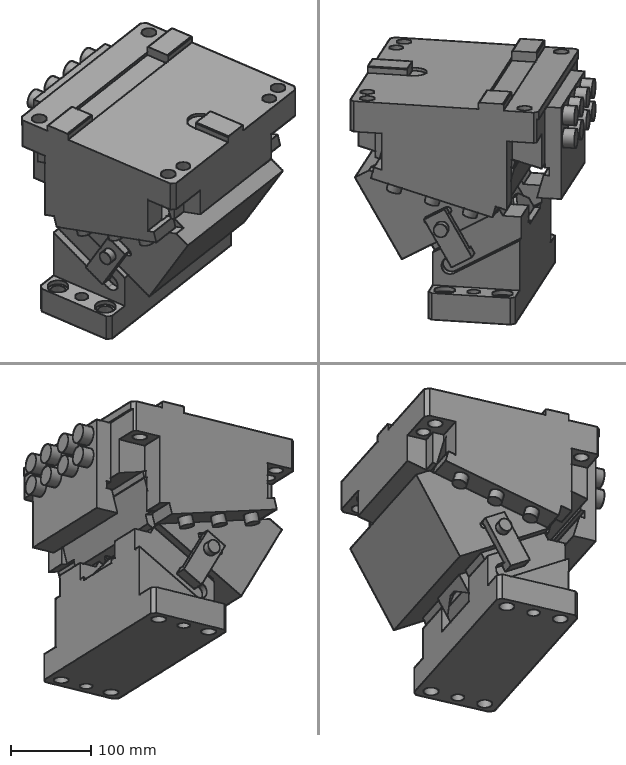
import cadquery as cq
import math


HALF_WIDTH = 130.0
CORNER = 5.2
SLIDER_HALF = 99.7
DRIVE_ANGLE = -30
DRIVE_ORIGIN = (28.0, 136.7)
SLIDE_ANGLE = 15
SLIDE_ORIGIN = (28.0, 139.3)
SLIDER_TOP = 68.5
FAR = 578.0

BASE_LENGTH = 110.5
FLANGE_HEIGHT = 35.0
BASE_BODY_HALF = 98.3
WEAR_THICKNESS = 9.8
BASE_TOP = DRIVE_ORIGIN[1] - WEAR_THICKNESS * math.cos(math.radians(DRIVE_ANGLE))
WEAR_LENGTH = 100.5
WEAR_OUTER = 88.0
CHANNEL_HALF = 40.5
CHANNEL_DEPTH = 40.5
RECESS_DEPTH = 45.5
RECESS_SLOT_HEIGHT = 20.8
RECESS_SLOT_END = 90.5
LIP_START = 63.0
BASE_HOLE_Y = 114.2
BASE_BOLT_PITCH = 73.5
BASE_BOLT_DIAMETER = 19.0
BASE_BORE_DIAMETER = 26.0
BASE_BORE_DEPTH = 5.8
DOWEL_DIAMETER = 16.2

GUIDE_HALF = 32.5
RIDGE_HALF = 5.8
RIDGE_DEPTH = 10.5
VALLEY_DEPTH = 27.0
TONGUE_START = 5.0
TONGUE_END = 106.0
TONGUE_RELIEF_Y = 24.3
TONGUE_RELIEF_RADIUS = 6.0
TONGUE_RELIEF_DEPTH = 3.5

SLIDER_START = -6.5
TOP_PLATE_START = -4.5
SLIDER_END = 140.2
SLIDER_BACK = 119.6
NECK_HALF = 84.5
LEDGE_GAP = 2.3
TOP_PLATE_HALF = 97.0
TOP_PLATE_THICKNESS = 9.0
LINK_RIGHT = 85.3
LINK_WIDTH = 30.0
LINK_BOTTOM = -35.3
LINK_LENGTH = 70.0
LINK_OUTER = 109.8
TOE_HEIGHT = 9.8
TOE_INNER = 93.0
PIN_HEIGHT = 50.0
PIN_DIAMETER = 17.3
PIN_END = 120.2
LINK_RELIEF_RADIUS = 4.3
LINK_RELIEF_DEPTH = 5.0
LINK_RELIEF_DROP = 5.0

PLATE_LEFT = -29.8
PLATE_RIGHT = 209.8
PLATE_BOTTOM = 240.5
PLATE_TOP = 280.3
FRONT_FACE = -27.5
FRONT_STEP_Z = 270.2
WALL_LEFT = 10.0
WALL_RIGHT = 169.0
CORE_HALF = 94.5
CORE_RIGHT = 184.0
REAR_HALF = 74.5
RETAINER_LENGTH = 160.0
RETAINER_THICKNESS = 15.0
RETAINER_INNER = 89.5
RETAINER_SCREW_Y = 114.5
RETAINER_SCREW_PITCH = 50.0
RETAINER_SCREW_DIAMETER = 18.2
RETAINER_SCREW_HEIGHT = 12.0
STOP_LEFT = -48.0
STOP_HALF = 74.5
STOP_BOTTOM = 150.3
NOTCH_TOP = 190.2
NOTCH_BOTTOM = 180.3
NOTCH_X = -33.0
HOOK_SHOULDER_X = -25.7
HOOK_FOOT_X = -17.3
STOP_SCREW_DIAMETER = 24.5
STOP_SCREW_HEIGHT = 15.3
STOP_SCREW_ROWS = (224.8, 254.5)
STOP_SCREW_COLUMNS = (-55.2, -20.0, 20.0, 55.2)
KEY_TOP = 289.0
KEY_WIDTH = 32.0
KEY_LENGTH = 50.3
KEY_CHAMFER = 1.2
KEYWAY_DEPTH = 4.0
CROSS_KEY_LEFT = 14.0
SLOT_CENTER_X = 154.3
MOUNT_HOLE_X = (-9.8, 190.2)
MOUNT_HOLE_Y = 115.0
MOUNT_HOLE_DIAMETER = 18.5
REAR_HOLE_X = 195.0
REAR_HOLE_Y = 90.2
REAR_HOLE_DIAMETER = 17.3


def box(x0, x1, y0, y1, z0, z1):
    return cq.Workplane("XY").box(x1 - x0, y1 - y0, z1 - z0, centered=False).translate((x0, y0, z0))


def side_plane(origin, angle, y):
    """Plane facing -Y at depth y, its first axis tilted by angle above +X."""
    tilt = math.radians(angle)
    direction = (math.cos(tilt), 0, math.sin(tilt))
    return cq.Workplane(cq.Plane((origin[0], y, origin[1]), direction, (0, -1, 0)))


def drive_plane(y):
    return side_plane(DRIVE_ORIGIN, DRIVE_ANGLE, y)


def slide_plane(y):
    return side_plane(SLIDE_ORIGIN, SLIDE_ANGLE, y)


def upright_plane(y):
    return side_plane((0, 0), 0, y)


def tilted_box(plane, along, up, y0, y1):
    """Box between y0 and y1, with its ranges along and above the tilted plane's first axis."""
    corners = [(along[0], up[0]), (along[1], up[0]), (along[1], up[1]), (along[0], up[1])]
    return plane(y1).polyline(corners).close().extrude(y1 - y0)


def both_sides(shape):
    return shape.union(shape.mirror("XZ"))


def drive_section_plane(along):
    """Plane across the drive slope, its axes along +Y and up from the slope."""
    tilt = math.radians(DRIVE_ANGLE)
    normal = (math.cos(tilt), 0, math.sin(tilt))
    origin = (DRIVE_ORIGIN[0], 0, DRIVE_ORIGIN[1])
    return cq.Workplane(cq.Plane(origin, (0, 1, 0), normal)).workplane(offset=along)


def guide_prism(start, end, floor):
    """Guide strip along the drive slope, between the chevron roof line and a flat at height floor."""
    profile = [
        (-GUIDE_HALF, floor),
        (-GUIDE_HALF, -VALLEY_DEPTH),
        (-RIDGE_HALF, -RIDGE_DEPTH),
        (RIDGE_HALF, -RIDGE_DEPTH),
        (GUIDE_HALF, -VALLEY_DEPTH),
        (GUIDE_HALF, floor),
    ]
    return drive_section_plane(start).polyline(profile).close().extrude(end - start)


def base_bolt_holes():
    middle = BASE_LENGTH / 2
    holes = None
    for y in (-BASE_HOLE_Y, BASE_HOLE_Y):
        top = cq.Workplane("XY", origin=(middle, y, FLANGE_HEIGHT))
        side = top.circle(DOWEL_DIAMETER / 2).extrude(-FLANGE_HEIGHT)
        for x in (-BASE_BOLT_PITCH / 2, BASE_BOLT_PITCH / 2):
            side = side.union(top.center(x, 0).circle(BASE_BOLT_DIAMETER / 2).extrude(-FLANGE_HEIGHT))
            side = side.union(top.center(x, 0).circle(BASE_BORE_DIAMETER / 2).extrude(-BASE_BORE_DEPTH))
        holes = side if holes is None else holes.union(side)
    return holes


def base_side_recess():
    """Clearance for the link on the -Y side: an open area, then a round-ended slot under a lip."""
    slot_middle = RECESS_SLOT_HEIGHT / 2 - RECESS_DEPTH
    slot_heights = (-RECESS_DEPTH, RECESS_SLOT_HEIGHT - RECESS_DEPTH)
    open_area = tilted_box(drive_plane, (-FAR, LIP_START), (-RECESS_DEPTH, FAR), -BASE_BODY_HALF, -WEAR_OUTER)
    slot = tilted_box(drive_plane, (LIP_START, RECESS_SLOT_END), slot_heights, -BASE_BODY_HALF, -WEAR_OUTER)
    round_end = (
        drive_plane(-WEAR_OUTER)
        .center(RECESS_SLOT_END, slot_middle)
        .circle(RECESS_SLOT_HEIGHT / 2)
        .extrude(BASE_BODY_HALF - WEAR_OUTER)
    )
    return open_area.union(slot).union(round_end)


def make_base():
    flange = box(0, BASE_LENGTH, -HALF_WIDTH, HALF_WIDTH, 0, FLANGE_HEIGHT).edges("|Z").chamfer(CORNER)
    body = box(0, BASE_LENGTH, -BASE_BODY_HALF, BASE_BODY_HALF, 0, BASE_TOP)
    above_slope = tilted_box(drive_plane, (-FAR, FAR), (-WEAR_THICKNESS, FAR), -HALF_WIDTH, HALF_WIDTH)
    body = body.cut(above_slope).cut(both_sides(base_side_recess()))
    wear_plates = tilted_box(drive_plane, (0, WEAR_LENGTH), (-WEAR_THICKNESS, 0), -WEAR_OUTER, WEAR_OUTER)
    base = flange.union(body).union(wear_plates)

    channel = tilted_box(drive_plane, (-FAR, FAR), (-CHANNEL_DEPTH, FAR), -CHANNEL_HALF, CHANNEL_HALF)
    guide_foot_x = DRIVE_ORIGIN[0] + CHANNEL_DEPTH * math.sin(math.radians(DRIVE_ANGLE))
    guide_foot_z = DRIVE_ORIGIN[1] - CHANNEL_DEPTH * math.cos(math.radians(DRIVE_ANGLE))
    mouth = box(0, guide_foot_x, -GUIDE_HALF, GUIDE_HALF, guide_foot_z, BASE_TOP)
    guide = guide_prism(0, TONGUE_END, -CHANNEL_DEPTH)
    guide = guide.intersect(box(0, BASE_LENGTH, -HALF_WIDTH, HALF_WIDTH, 0, BASE_TOP))
    return base.cut(channel).cut(mouth).union(guide).cut(base_bolt_holes())


def slider_link():
    """Return link on the -Y side, with the toe that enters the base recess and its pin."""
    along = (LINK_RIGHT - LINK_WIDTH, LINK_RIGHT)
    plate_heights = (LINK_BOTTOM, LINK_BOTTOM + LINK_LENGTH)
    toe_heights = (LINK_BOTTOM, LINK_BOTTOM + TOE_HEIGHT)
    plate = tilted_box(drive_plane, along, plate_heights, -LINK_OUTER, -SLIDER_HALF)
    toe = tilted_box(drive_plane, along, toe_heights, -LINK_OUTER, -TOE_INNER)
    pin = (
        drive_plane(-LINK_OUTER)
        .center(LINK_RIGHT - LINK_WIDTH / 2, LINK_BOTTOM + PIN_HEIGHT)
        .circle(PIN_DIAMETER / 2)
        .extrude(PIN_END - LINK_OUTER)
    )
    return plate.union(toe).union(pin)


def link_reliefs():
    """Round corner reliefs in the slider side beside the link's upper end."""
    height = LINK_BOTTOM + LINK_LENGTH - LINK_RELIEF_DROP
    return (
        drive_plane(LINK_RELIEF_DEPTH - SLIDER_HALF)
        .pushPoints([(LINK_RIGHT - LINK_WIDTH, height), (LINK_RIGHT, height)])
        .circle(LINK_RELIEF_RADIUS)
        .extrude(LINK_RELIEF_DEPTH)
    )


def slider_section(body_start, plate_start, end):
    """Slider cross-section with its narrower top plate, swept along the slide direction to end."""
    shoulder = SLIDER_TOP - TOP_PLATE_THICKNESS
    body = tilted_box(slide_plane, (body_start, end), (-FAR, shoulder), -SLIDER_HALF, SLIDER_HALF)
    top_plate = tilted_box(
        slide_plane, (plate_start, end), (shoulder, SLIDER_TOP), -TOP_PLATE_HALF, TOP_PLATE_HALF
    )
    return body.union(top_plate)


def tongue_reliefs():
    """Round reliefs in the slider underside in front of the tongue's end corners."""
    return (
        drive_section_plane(TONGUE_START)
        .transformed(rotate=(-90, 0, 0))
        .pushPoints([(-TONGUE_RELIEF_Y, 0), (TONGUE_RELIEF_Y, 0)])
        .circle(TONGUE_RELIEF_RADIUS)
        .extrude(TONGUE_RELIEF_DEPTH)
    )


def make_slider():
    wedge = tilted_box(drive_plane, (-FAR, SLIDER_END), (0, SLIDER_BACK), -SLIDER_HALF, SLIDER_HALF)
    slider = wedge.intersect(slider_section(SLIDER_START, TOP_PLATE_START, FAR))

    neck_groove = tilted_box(
        slide_plane, (-FAR, FAR), (-LEDGE_GAP, RETAINER_THICKNESS), -SLIDER_HALF, -NECK_HALF
    )
    slider = slider.cut(both_sides(neck_groove)).cut(both_sides(link_reliefs())).cut(tongue_reliefs())

    tongue = guide_prism(TONGUE_START, TONGUE_END, TONGUE_RELIEF_DEPTH)
    return slider.union(tongue).union(both_sides(slider_link()))


def housing_body():
    """Block under the top plate, hollowed for the slider, with a rear stop behind the cavity."""
    core = box(FRONT_FACE, CORE_RIGHT, -CORE_HALF, CORE_HALF, 0, PLATE_BOTTOM)
    walls = box(WALL_LEFT, WALL_RIGHT, -HALF_WIDTH, HALF_WIDTH, 0, PLATE_BOTTOM)
    rear_stop = box(CORE_RIGHT, PLATE_RIGHT, -REAR_HALF, REAR_HALF, 0, PLATE_BOTTOM)
    below_walls = tilted_box(slide_plane, (-FAR, FAR), (-FAR, RETAINER_THICKNESS), -HALF_WIDTH, HALF_WIDTH)
    cavity = slider_section(-FAR, -FAR, RETAINER_LENGTH)
    return core.union(walls).union(rear_stop).cut(below_walls).cut(cavity)


def housing_retainer():
    """Retainer strip on the -Y side with its screw heads."""
    retainer = tilted_box(
        slide_plane, (0, RETAINER_LENGTH), (0, RETAINER_THICKNESS), -HALF_WIDTH, -RETAINER_INNER
    )
    screw_plane = slide_plane(-RETAINER_SCREW_Y).transformed(rotate=(90, 0, 0))
    for step in (-1, 0, 1):
        along = RETAINER_LENGTH / 2 + step * RETAINER_SCREW_PITCH
        head = screw_plane.center(along, 0).circle(RETAINER_SCREW_DIAMETER / 2).extrude(RETAINER_SCREW_HEIGHT)
        retainer = retainer.union(head)
    return retainer


def stop_plate():
    """Hooked plate on the front face with its eight screw heads."""
    profile = [
        (STOP_LEFT, FRONT_STEP_Z),
        (FRONT_FACE, FRONT_STEP_Z),
        (FRONT_FACE, NOTCH_TOP),
        (NOTCH_X, NOTCH_TOP),
        (NOTCH_X, NOTCH_BOTTOM),
        (HOOK_SHOULDER_X, NOTCH_BOTTOM),
        (HOOK_FOOT_X, STOP_BOTTOM),
        (STOP_LEFT, STOP_BOTTOM),
    ]
    plate = upright_plane(STOP_HALF).polyline(profile).close().extrude(2 * STOP_HALF)
    centers = [(y, z) for y in STOP_SCREW_COLUMNS for z in STOP_SCREW_ROWS]
    heads = (
        cq.Workplane("YZ", origin=(STOP_LEFT, 0, 0))
        .pushPoints(centers)
        .circle(STOP_SCREW_DIAMETER / 2)
        .extrude(-STOP_SCREW_HEIGHT)
    )
    return plate.union(heads)


def top_keys():
    key_bottom = PLATE_TOP - KEYWAY_DEPTH
    cross_key = box(
        CROSS_KEY_LEFT, CROSS_KEY_LEFT + KEY_WIDTH, -HALF_WIDTH, KEY_LENGTH - HALF_WIDTH, key_bottom, KEY_TOP
    )
    cross_key = cross_key.edges("|Y and >Z").chamfer(KEY_CHAMFER)
    rear_key = box(PLATE_RIGHT - KEY_LENGTH, PLATE_RIGHT, -KEY_WIDTH / 2, KEY_WIDTH / 2, key_bottom, KEY_TOP)
    rear_key = rear_key.edges("|X and >Z").chamfer(KEY_CHAMFER)
    return both_sides(cross_key).union(rear_key)


def top_keyways():
    floor = PLATE_TOP - KEYWAY_DEPTH
    cross_way = box(CROSS_KEY_LEFT, CROSS_KEY_LEFT + KEY_WIDTH, -HALF_WIDTH, HALF_WIDTH, floor, PLATE_TOP)
    rear_way = box(SLOT_CENTER_X, PLATE_RIGHT, -KEY_WIDTH / 2, KEY_WIDTH / 2, floor, PLATE_TOP)
    slot_center = cq.Workplane("XY", origin=(SLOT_CENTER_X, 0, floor))
    round_end = slot_center.circle(KEY_WIDTH / 2).extrude(KEYWAY_DEPTH)
    return cross_way.union(rear_way).union(round_end)


def top_plate_holes():
    thickness = PLATE_TOP - PLATE_BOTTOM
    bottom = cq.Workplane("XY", origin=(0, 0, PLATE_BOTTOM))
    corners = [(x, y) for x in MOUNT_HOLE_X for y in (-MOUNT_HOLE_Y, MOUNT_HOLE_Y)]
    mounts = bottom.pushPoints(corners).circle(MOUNT_HOLE_DIAMETER / 2).extrude(thickness)
    rear_points = [(REAR_HOLE_X, -REAR_HOLE_Y), (REAR_HOLE_X, REAR_HOLE_Y)]
    rears = bottom.pushPoints(rear_points).circle(REAR_HOLE_DIAMETER / 2).extrude(thickness)
    return mounts.union(rears)


def make_housing():
    plate = box(PLATE_LEFT, PLATE_RIGHT, -HALF_WIDTH, HALF_WIDTH, PLATE_BOTTOM, PLATE_TOP)
    plate = plate.edges("|Z").chamfer(CORNER)
    plate = plate.cut(box(PLATE_LEFT, FRONT_FACE, -HALF_WIDTH, HALF_WIDTH, PLATE_BOTTOM, FRONT_STEP_Z))
    plate = plate.cut(top_keyways()).cut(top_plate_holes())
    housing = plate.union(housing_body()).union(both_sides(housing_retainer()))
    return housing.union(stop_plate()).union(top_keys())


base = make_base()
slider = make_slider()
housing = make_housing()

result = cq.Compound.makeCompound([base.solids().val(), slider.solids().val(), housing.solids().val()])